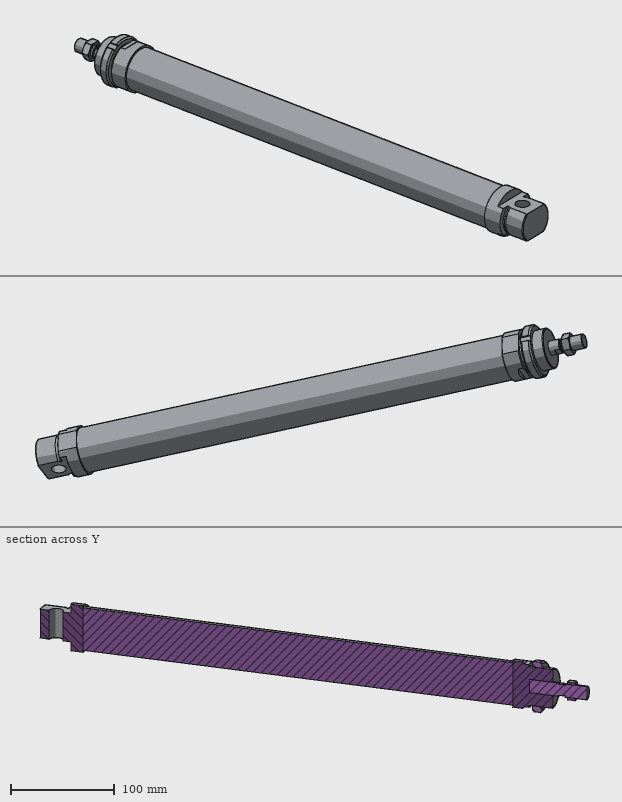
import cadquery as cq
import math

total_length = 564.0

rod_diameter = 14.0
rod_tip_chamfer = 0.5
rod_groove_start = 22.5
rod_groove_diameter = 11
rod_flat_start = 24.0
rod_flat_end = 29.5
rod_flat_width = 12.0

lock_nut_flats = 18.5
lock_nut_start = 12.5
lock_nut_end = 20.5
lock_nut_chamfer_height = 0.5

boss_diameter = 40.0
boss_start = 35.0
boss_chamfer = 0.85
collar_diameter = 48.0
collar_start = 60.0
collar_end = 76.5
port_flat_offset = 22.0
head_flat_offset = 22.0
head_flat_length = 5.0

ring_nut_diameter = 52.0
ring_nut_start = 46.0
ring_nut_end = 56.5
ring_nut_chamfer = 1.5
ring_nut_slot_count = 3
ring_nut_slot_width = 5.5
ring_nut_slot_depth = 1.5

barrel_diameter = 44.0
cap_start = 520.0

cap_end = 539.0
eye_diameter = boss_diameter
eye_flat_start = 532.5
eye_flat_width = 30.0
eye_end_chamfer = 0.85
eye_groove_diameter = 38.5
eye_groove_length = 1.5
eye_start_chamfer_length = 2.0
pin_hole_diameter = 14.0
pin_hole_x = 547.5

reach = ring_nut_diameter


def x_cylinder(diameter, start, end):
    """Cylinder on the X axis between two X positions."""
    return cq.Workplane("YZ").workplane(offset=start).circle(diameter / 2).extrude(end - start)


def z_flat_cutter(start, end, offset):
    """Box that cuts away everything beyond Z = offset between two X positions."""
    return (
        cq.Workplane("XY")
        .box(end - start, 2 * reach, reach, centered=(False, True, False))
        .translate((start, 0, offset))
    )


def cut_both_z_sides(body, cutter):
    """Cut with a cutter on the +Z side and with its mirror image on the -Z side."""
    return body.cut(cutter).cut(cutter.mirror("XY"))


def collar_with_port_flat(start, end):
    """Round collar with a flat on its +Y side."""
    cutter = z_flat_cutter(start, end, port_flat_offset).rotate((0, 0, 0), (1, 0, 0), -90)
    return x_cylinder(collar_diameter, start, end).cut(cutter)


def make_rod():
    rod = x_cylinder(rod_diameter, 0, collar_start).faces("<X").chamfer(rod_tip_chamfer)
    groove = x_cylinder(rod_diameter, rod_groove_start, rod_flat_start)
    rod = rod.cut(groove.cut(x_cylinder(rod_groove_diameter, rod_groove_start, rod_flat_start)))
    return cut_both_z_sides(rod, z_flat_cutter(rod_flat_start, rod_flat_end, rod_flat_width / 2))


def make_lock_nut():
    thickness = lock_nut_end - lock_nut_start
    corner_diameter = lock_nut_flats / math.cos(math.pi / 6)
    nut = cq.Workplane("YZ").workplane(offset=lock_nut_start).polygon(6, corner_diameter).extrude(thickness)
    bevel = (
        x_cylinder(corner_diameter, lock_nut_start, lock_nut_end)
        .edges()
        .chamfer(lock_nut_chamfer_height, (corner_diameter - lock_nut_flats) / 2)
    )
    return nut.intersect(bevel).cut(x_cylinder(rod_diameter, lock_nut_start, lock_nut_end))


def make_head():
    boss = x_cylinder(boss_diameter, boss_start, collar_start).faces("<X").chamfer(boss_chamfer)
    collar = collar_with_port_flat(collar_start, collar_end)
    flat_end = collar_start + head_flat_length
    ramp_rise = reach - head_flat_offset
    flat_cutter = (
        cq.Workplane("XZ")
        .moveTo(collar_start, head_flat_offset)
        .lineTo(flat_end, head_flat_offset)
        .lineTo(flat_end + ramp_rise, reach)
        .lineTo(collar_start, reach)
        .close()
        .extrude(reach, both=True)
    )
    head = boss.union(cut_both_z_sides(collar, flat_cutter))
    return head.cut(x_cylinder(rod_diameter, boss_start, collar_start))


def make_ring_nut():
    nut = x_cylinder(ring_nut_diameter, ring_nut_start, ring_nut_end).edges().chamfer(ring_nut_chamfer)
    nut = nut.cut(x_cylinder(boss_diameter, ring_nut_start, ring_nut_end))
    slot = (
        cq.Workplane("XY")
        .box(ring_nut_end - ring_nut_start, reach, ring_nut_slot_width, centered=(False, False, True))
        .translate((ring_nut_start, ring_nut_diameter / 2 - ring_nut_slot_depth, 0))
    )
    for index in range(ring_nut_slot_count):
        nut = nut.cut(slot.rotate((0, 0, 0), (1, 0, 0), index * 360 / ring_nut_slot_count))
    return nut


def make_barrel():
    return x_cylinder(barrel_diameter, collar_end, cap_start)


def make_rear_cap():
    groove_end = cap_end + eye_groove_length
    cap = collar_with_port_flat(cap_start, cap_end)
    cap = cap.union(x_cylinder(eye_groove_diameter, cap_end, groove_end))
    eye_start_chamfer_height = (eye_diameter - eye_groove_diameter) / 2
    eye = x_cylinder(eye_diameter, groove_end, total_length)
    eye = eye.faces("<X").chamfer(eye_start_chamfer_length, eye_start_chamfer_height)
    eye = eye.faces(">X").chamfer(eye_end_chamfer)
    cap = cap.union(eye)
    cap = cut_both_z_sides(cap, z_flat_cutter(eye_flat_start, total_length, eye_flat_width / 2))
    pin_hole = cq.Workplane("XY").center(pin_hole_x, 0).circle(pin_hole_diameter / 2).extrude(reach, both=True)
    return cap.cut(pin_hole)


rod = make_rod()
lock_nut = make_lock_nut()
head = make_head()
ring_nut = make_ring_nut()
barrel = make_barrel()
rear_cap = make_rear_cap()

result = cq.Compound.makeCompound(
    [rod.val(), lock_nut.val(), head.val(), ring_nut.val(), barrel.val(), rear_cap.val()]
)